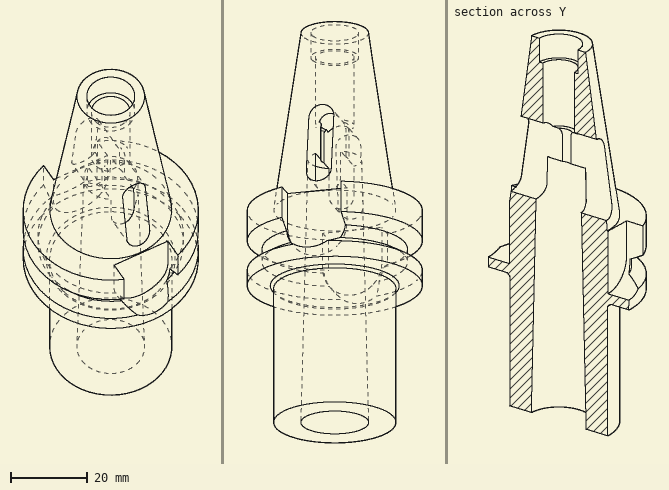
import cadquery as cq

total_height = 108.4
taper_per_diameter = 7 / 24

body_radius = 16.0
neck_radius = 16.9
neck_height = 0.8

flange_radius = 23.0
flange_bottom = 38.0
flange_top = 59.0
lower_rim_height = 4.3
upper_rim_height = 8.5
groove_radius = 19.1
groove_cone_height = 2.3

gauge_radius = 15.9
gauge_height = 1.0

key_width = 16.2
key_flat_offset = 16.2
key_bottom = 41.0

tang_width = 6.8
tang_bottom = 61.9
tang_top = 84.2

entry_radius = 6.3
entry_depth = 6.8
bore_radius = 5.1
core_radius = 3.7

socket_radius = 8.9
socket_taper_per_diameter = 1 / 20


def make_outer_body():
    """Revolve the body, grooved flange and tapered shank."""
    lower_rim_top = flange_bottom + lower_rim_height
    upper_rim_bottom = flange_top - upper_rim_height
    gauge_top = flange_top + gauge_height
    tip_radius = gauge_radius - (total_height - gauge_top) * taper_per_diameter / 2
    profile = [
        (0, 0),
        (body_radius, 0),
        (body_radius, flange_bottom - neck_height),
        (neck_radius, flange_bottom),
        (flange_radius, flange_bottom),
        (flange_radius, lower_rim_top),
        (groove_radius, lower_rim_top + groove_cone_height),
        (groove_radius, upper_rim_bottom - groove_cone_height),
        (flange_radius, upper_rim_bottom),
        (flange_radius, flange_top),
        (gauge_radius, flange_top),
        (gauge_radius, gauge_top),
        (tip_radius, total_height),
        (0, total_height),
    ]
    return cq.Workplane("XZ").polyline(profile).close().revolve(360, (0, 0), (0, 1))


def make_key_slot(side):
    """Round-bottomed drive slot on the +X (side = 1) or -X (side = -1) rim."""
    half_width = key_width / 2
    arc_center = key_bottom + half_width
    return (
        cq.Workplane("YZ", origin=(side * key_flat_offset, 0, 0))
        .moveTo(-half_width, flange_top)
        .lineTo(-half_width, arc_center)
        .threePointArc((0, key_bottom), (half_width, arc_center))
        .lineTo(half_width, flange_top)
        .close()
        .extrude(side * flange_radius)
    )


def make_tang_slot():
    """Vertical obround slot crossing the whole shank along X."""
    return (
        cq.Workplane("YZ")
        .center(0, (tang_bottom + tang_top) / 2)
        .slot2D(tang_top - tang_bottom, tang_width, 90)
        .extrude(flange_radius, both=True)
    )


def make_inner_cavity():
    """Revolve the Morse socket, the core hole and the stepped tip bore."""
    socket_top = (tang_bottom + tang_top) / 2
    socket_top_radius = socket_radius - socket_top * socket_taper_per_diameter / 2
    bore_bottom = tang_top - tang_width / 4
    entry_bottom = total_height - entry_depth
    profile = [
        (0, 0),
        (socket_radius, 0),
        (socket_top_radius, socket_top),
        (core_radius, socket_top),
        (core_radius, bore_bottom),
        (bore_radius, bore_bottom),
        (bore_radius, entry_bottom),
        (entry_radius, entry_bottom),
        (entry_radius, total_height),
        (0, total_height),
    ]
    return cq.Workplane("XZ").polyline(profile).close().revolve(360, (0, 0), (0, 1))


result = make_outer_body().cut(make_inner_cavity()).cut(make_tang_slot())
for slot_side in (-1, 1):
    result = result.cut(make_key_slot(slot_side))